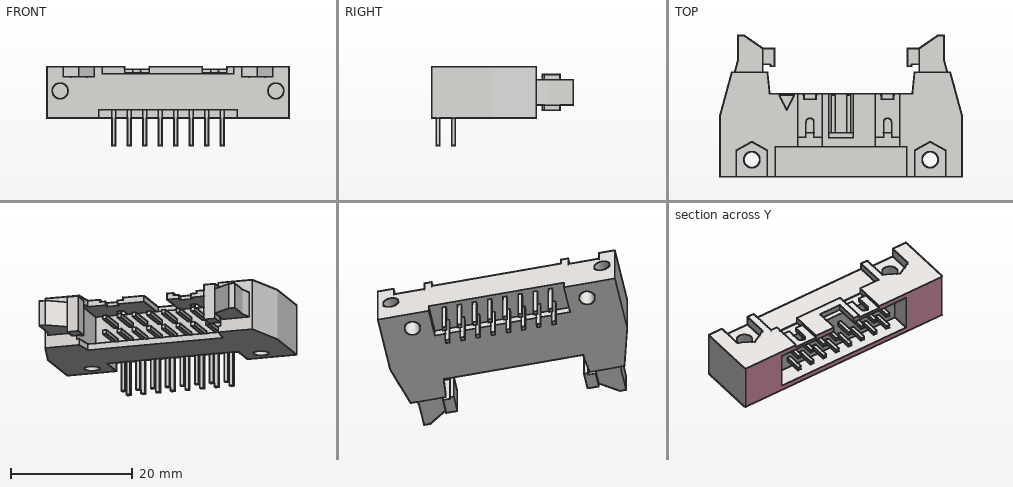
import cadquery as cq


half_length = 19.95
body_height = 8.45
wing_y = 17.25
shroud_y = 13.73
taper_start_y = 10.05
wing_outer_x = 18.0
wing_inner_x = 12.1
wing_root_x = 11.75

wall = 1.05
cavity_half_length = 12.53
cavity_back_y = 7.3

step_half_length = 10.85
step_y = 5.0
step_depth = 1.15

hole_diameter = 2.6
mount_x = 14.7
mount_y = 2.85
nut_width = 5.15
nut_side_y = 4.35
nut_peak_y = 5.8
nut_depth = 1.68
rear_hole_x = 17.75
rear_hole_z = 4.45
rear_hole_depth = 4.0

pitch = 2.55
pin_columns = 8
pin_size = 0.65
pin_length = 4.55
rear_row_y = 1.05
mating_pin_y = 13.45
pin_relief_half_length = 11.37
pin_relief_depth = 1.4

window_positions = (-2 * pitch, 3 * pitch)
window_width = 4.03
window_depth = 0.4
ledge_y = 6.55
slot_width = 1.3
slot_end_y = 9.65
edge_notch_width = 2.1
edge_notch_depth = 0.9
key_width = 4.0
key_back_y = 6.42

mark_x = -3.5 * pitch
mark_width = 2.47
mark_length = 2.45
mark_gap = 0.28
mark_depth = 0.2

latch_tip_y = 23.3
latch_tip_inner_x = 15.95
latch_outer_x = 17.0
latch_bend_y = 19.15
latch_root_x = 17.5
latch_inner_x = 12.85
latch_thickness = 4.2
hook_inner_x = 10.95
hook_front_y = 21.15
hook_back_y = 18.5
hook_lip_x = 11.6
hook_lip_y = 18.2
hook_thickness = 5.95


def block(x_range, y_range, z_range):
    """Box given by its limits along each axis."""
    (x0, x1), (y0, y1), (z0, z1) = x_range, y_range, z_range
    return cq.Workplane("XY").box(x1 - x0, y1 - y0, z1 - z0, centered=False).translate((x0, y0, z0))


def prism(points, z0, z1):
    """Closed outline in X and Y, extruded from z0 to z1."""
    return cq.Workplane("XY").workplane(offset=z0).polyline(points).close().extrude(z1 - z0)


def both_ends(solid):
    """The solid together with its mirror image across X = 0."""
    return solid.union(solid.mirror("YZ"))


def make_body():
    right_side = [
        (half_length, 0),
        (half_length, taper_start_y),
        (wing_outer_x, wing_y),
        (wing_inner_x, wing_y),
        (wing_root_x, shroud_y),
    ]
    left_side = [(-x, y) for x, y in reversed(right_side)]
    return prism(right_side + left_side, 0, body_height)


def make_cavity():
    """Mating cavity, open to the front and along the inner sides of the wings."""
    return block(
        (-cavity_half_length, cavity_half_length),
        (cavity_back_y, wing_y),
        (wall, body_height - wall),
    )


def make_mount():
    """Nut pocket with a peaked front and a through hole."""
    left = mount_x - nut_width / 2
    right = mount_x + nut_width / 2
    outline = [(left, 0), (right, 0), (right, nut_side_y), (mount_x, nut_peak_y), (left, nut_side_y)]
    nut_pocket = prism(outline, body_height - nut_depth, body_height)
    hole = cq.Workplane("XY").center(mount_x, mount_y).circle(hole_diameter / 2).extrude(body_height)
    return nut_pocket.union(hole)


def make_rear_hole():
    return (
        cq.Workplane("XZ")
        .center(rear_hole_x, rear_hole_z)
        .circle(hole_diameter / 2)
        .extrude(-rear_hole_depth)
    )


def make_window(x):
    """Shallow channel in the top wall with a rear ledge, a round-ended slot and a front edge notch."""
    def cut(width, y_range, depth):
        return block((x - width / 2, x + width / 2), y_range, (body_height - depth, body_height))

    slot_center_y = slot_end_y - slot_width / 2
    slot_end = (
        cq.Workplane("XY", origin=(x, slot_center_y, body_height - wall))
        .circle(slot_width / 2)
        .extrude(wall)
    )
    return (
        cut(window_width, (step_y, shroud_y), window_depth)
        .union(cut(window_width, (step_y, ledge_y), wall))
        .union(cut(slot_width, (ledge_y, slot_center_y), wall))
        .union(slot_end)
        .union(cut(edge_notch_width, (shroud_y - edge_notch_depth, shroud_y), wall))
    )


def make_mark():
    base_y = shroud_y - mark_gap
    outline = [
        (mark_x - mark_width / 2, base_y),
        (mark_x, base_y - mark_length),
        (mark_x + mark_width / 2, base_y),
    ]
    return prism(outline, body_height - mark_depth, body_height)


def make_latch():
    """Right-hand latch; its arm stands on the front of the wing."""
    arm_outline = [
        (latch_inner_x, wing_y),
        (latch_root_x, wing_y),
        (latch_outer_x, latch_bend_y),
        (latch_outer_x, latch_tip_y),
        (latch_tip_inner_x, latch_tip_y),
        (latch_inner_x, hook_front_y),
    ]
    hook_outline = [
        (latch_inner_x, hook_front_y),
        (hook_inner_x, hook_front_y),
        (hook_inner_x, hook_lip_y),
        (hook_lip_x, hook_lip_y),
        (hook_lip_x, hook_back_y),
        (latch_inner_x, hook_back_y),
    ]
    middle = body_height / 2
    arm = prism(arm_outline, middle - latch_thickness / 2, middle + latch_thickness / 2)
    hook = prism(hook_outline, middle - hook_thickness / 2, middle + hook_thickness / 2)
    return arm.union(hook)


def make_pin(x, row):
    """Right-angle pin; row 0 is the rear solder row and the upper mating row."""
    half = pin_size / 2
    y = rear_row_y + row * pitch
    z = body_height / 2 + (0.5 - row) * pitch
    x_range = (x - half, x + half)
    solder_leg = block(x_range, (y - half, y + half), (-pin_length, z + half))
    mating_leg = block(x_range, (y - half, mating_pin_y), (z - half, z + half))
    return solder_leg.union(mating_leg)


def make_rear_step():
    return block((-step_half_length, step_half_length), (0, step_y), (body_height - step_depth, body_height))


def make_pin_relief():
    """Clearance in the underside around the solder pins."""
    return block((-pin_relief_half_length, pin_relief_half_length), (0, step_y), (0, pin_relief_depth))


def make_key_notch():
    """Polarising notch through the top wall, open to the front."""
    return block((-key_width / 2, key_width / 2), (key_back_y, shroud_y), (body_height - wall, body_height))


cuts = [
    make_cavity(),
    make_rear_step(),
    make_pin_relief(),
    make_key_notch(),
    make_mark(),
    both_ends(make_mount()),
    both_ends(make_rear_hole()),
]
cuts += [make_window(x) for x in window_positions]

result = make_body()
for cut_shape in cuts:
    result = result.cut(cut_shape)

result = result.union(both_ends(make_latch()))
for column in range(pin_columns):
    pin_x = (column - (pin_columns - 1) / 2) * pitch
    for pin_row in range(2):
        result = result.union(make_pin(pin_x, pin_row))